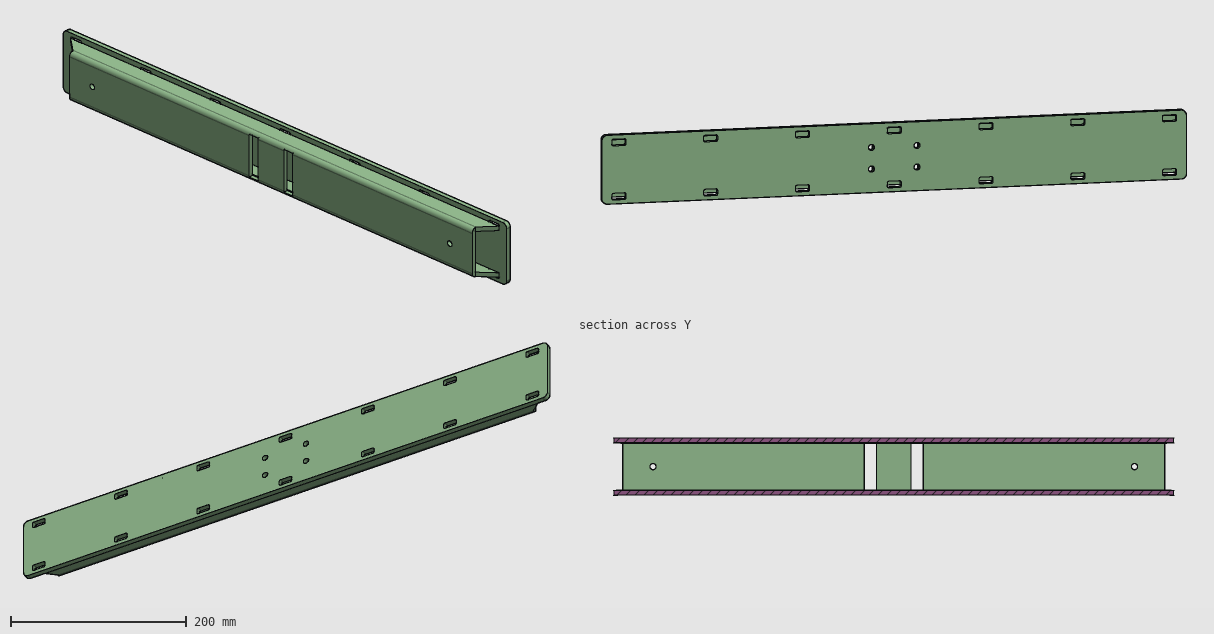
import cadquery as cq

plate_length = 680.0
plate_height = 80.0
plate_thickness = 6.0
plate_corner_radius = 6.0

overall_depth = 30.0
wall_thickness = 5.8
foot_half_height = 33.0
web_half_height = 32.0
bend_radius = 6.0
web_half_length = 309.0
foot_half_length = 328.5

window_offset = 26.5
window_width = 13.5
window_height = 56.0
web_hole_offset = 274.0
web_hole_diameter = 7.0

plate_hole_diameter = 7.0
plate_hole_spacing = 25.0

slot_pitch = 107.0
slot_length = 16.0
slot_corner_radius = 2.0
slot_clearance = 2.0
slots_each_side = 3

web_back_y = wall_thickness
plate_front_y = overall_depth - plate_thickness

both_sides = (-1, 1)


def block(length, height, x, z, y_start, y_end):
    """Box centred at (x, z) that spans y_start to y_end."""
    return cq.Workplane("XY").box(length, y_end - y_start, height).translate((x, (y_start + y_end) / 2, z))


def cylinder(diameter, x, z, y_start, y_end):
    """Cylinder along Y, centred at (x, z), that spans y_start to y_end."""
    disc = cq.Workplane("XZ", origin=(x, y_start, z)).circle(diameter / 2)
    return disc.extrude(y_start - y_end)


def make_plate():
    plate = block(plate_length, plate_height, 0, 0, plate_front_y, overall_depth)
    plate = plate.edges("|Y").fillet(plate_corner_radius)
    slot_height = wall_thickness + slot_clearance
    slot_centre_z = foot_half_height - wall_thickness + slot_height / 2
    for index in range(-slots_each_side, slots_each_side + 1):
        for side in both_sides:
            slot = block(slot_length, slot_height, index * slot_pitch, side * slot_centre_z,
                         plate_front_y, overall_depth)
            plate = plate.cut(slot.edges("|Y").fillet(slot_corner_radius))
    for x_side in both_sides:
        for z_side in both_sides:
            hole = cylinder(plate_hole_diameter, x_side * window_offset, z_side * plate_hole_spacing / 2,
                            plate_front_y, overall_depth)
            plate = plate.cut(hole)
    return plate


def drafted_section(inset, front_y):
    """Trapezoid bar along X, wider at the plate; inset moves its flanks inward."""
    foot = foot_half_height - inset
    draft = (foot_half_height - web_half_height) / plate_front_y
    front = foot - draft * (plate_front_y - front_y)
    corners = [(plate_front_y, -foot), (front_y, -front), (front_y, front), (plate_front_y, foot)]
    return (cq.Workplane("YZ").polyline(corners).close()
            .extrude(foot_half_length, both=True))


def make_channel():
    outside = drafted_section(0, 0).edges("|X and <Y").fillet(bend_radius)
    channel = outside.cut(drafted_section(wall_thickness, web_back_y))
    side_outline = [
        (-web_half_length, 0),
        (web_half_length, 0),
        (web_half_length, web_back_y),
        (foot_half_length, plate_front_y),
        (-foot_half_length, plate_front_y),
        (-web_half_length, web_back_y),
    ]
    trim = cq.Workplane("XY").polyline(side_outline).close().extrude(plate_height / 2, both=True)
    channel = channel.intersect(trim)
    for side in both_sides:
        channel = channel.cut(block(window_width, window_height, side * window_offset, 0, 0, web_back_y))
        channel = channel.cut(cylinder(web_hole_diameter, side * web_hole_offset, 0, 0, web_back_y))
    return channel


result = make_plate().union(make_channel())